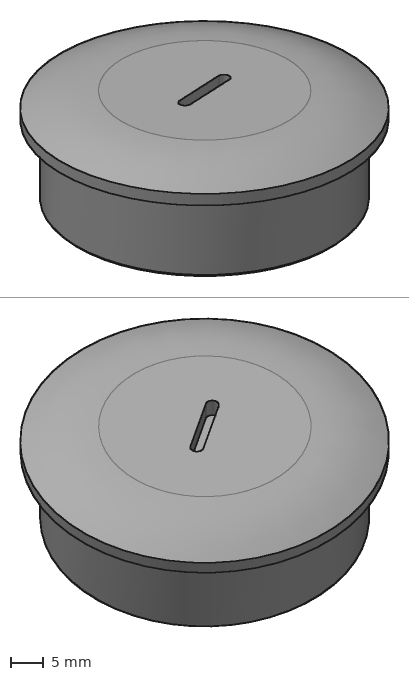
import cadquery as cq

flange_diameter = 56.0
body_diameter = 50.0
top_flat_diameter = 32.25
total_height = 19.0
body_height = 14.0
rim_height = 2.0
bottom_chamfer = 0.5
slot_length = 12.0
slot_width = 2.0
slot_depth = 2.95

flange_radius = flange_diameter / 2
body_radius = body_diameter / 2
top_flat_radius = top_flat_diameter / 2
rim_top = body_height + rim_height

dome_run = flange_radius - top_flat_radius
dome_drop = total_height - rim_top
dome_radius = (dome_run**2 + dome_drop**2) / (2 * dome_drop)
mid_run = dome_run / 2
mid_drop = dome_radius - (dome_radius**2 - mid_run**2) ** 0.5


def make_plug():
    """Revolve the half section of body, rim and dome about Z."""
    return (
        cq.Workplane("XZ")
        .lineTo(body_radius - bottom_chamfer, 0)
        .lineTo(body_radius, bottom_chamfer)
        .lineTo(body_radius, body_height)
        .lineTo(flange_radius, body_height)
        .lineTo(flange_radius, rim_top)
        .threePointArc(
            (top_flat_radius + mid_run, total_height - mid_drop),
            (top_flat_radius, total_height),
        )
        .lineTo(0, total_height)
        .close()
        .revolve(360, (0, 0, 0), (0, 1, 0))
    )


def make_slot():
    """Round-ended slot along Y, sunk into the flat top."""
    return (
        cq.Workplane("XY", origin=(0, 0, total_height))
        .slot2D(slot_length, slot_width, 90)
        .extrude(-slot_depth)
    )


result = make_plug().cut(make_slot())